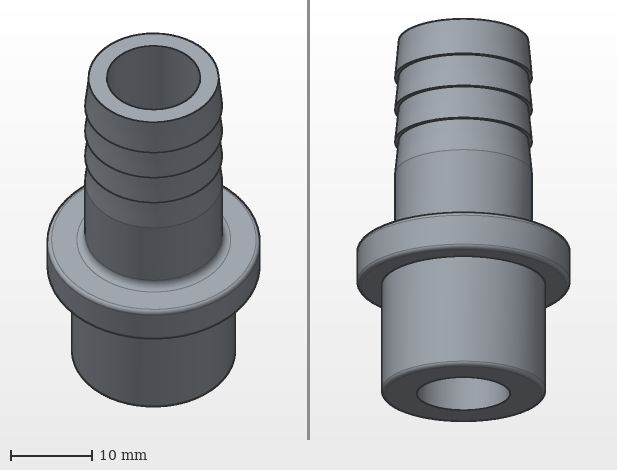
import cadquery as cq

total_height = 46.3
bore_diameter = 11.5
spigot_diameter = 20.2
flange_diameter = 26.2
hose_diameter = 16.9
barb_small_diameter = 16.0

spigot_length = 14.25
flange_thickness = 4.8
tip_barb_length = 4.7
barb_length = 4.2
lower_barb_count = 3

neck_fillet = 1.0
flange_round = 0.5
spigot_round = 0.5

flange_top = spigot_length + flange_thickness
hose_radius = hose_diameter / 2
barb_small_radius = barb_small_diameter / 2


def cylinder(diameter, bottom, height):
    return cq.Workplane("XY").workplane(offset=bottom).circle(diameter / 2).extrude(height)


def hose_tail():
    """Revolved stem with barbs that narrow toward the top."""
    tip_bottom = total_height - tip_barb_length
    barb_start = tip_bottom - lower_barb_count * barb_length
    profile = cq.Workplane("XZ").moveTo(0, flange_top).lineTo(hose_radius, flange_top)
    for index in range(lower_barb_count):
        base = barb_start + index * barb_length
        profile = profile.lineTo(hose_radius, base)
        profile = profile.lineTo(barb_small_radius, base + barb_length)
    profile = profile.lineTo(hose_radius, tip_bottom)
    profile = profile.lineTo(barb_small_radius, total_height)
    return profile.lineTo(0, total_height).close().revolve(360, (0, 0, 0), (0, 1, 0))


spigot = cylinder(spigot_diameter, 0, spigot_length).faces("<Z").edges().fillet(spigot_round)
flange = cylinder(flange_diameter, spigot_length, flange_thickness).edges("%CIRCLE").fillet(flange_round)
body = spigot.union(flange).union(hose_tail())

neck_point = (0, 0, flange_top)
neck_edge = cq.selectors.NearestToPointSelector(neck_point)
body = body.edges("%CIRCLE").edges(neck_edge).fillet(neck_fillet)

result = body.cut(cylinder(bore_diameter, 0, total_height))